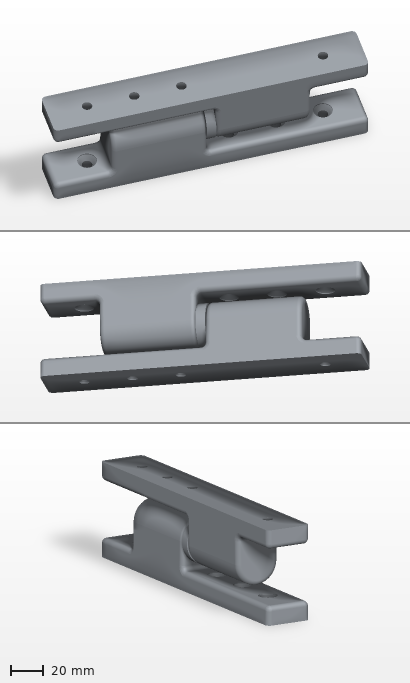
import cadquery as cq
import math

length = 200.0
width = 30.0
height = 60.0
edge_radius = 3.0

plate_thickness = 12.0
draft_angle = 1.0
barrel_length = 60.0
spacer_length = 6.0

hole_diameter = 6.5
countersink_diameter = 12.0
countersink_angle = 90.0
countersink_lip = 0.5
outer_hole_y = 75.0
hole_pitch = 30.0
long_arm_holes = 3

plate_bottom_z = -height / 2
plate_top_z = plate_bottom_z + plate_thickness
draft = math.radians(draft_angle)
barrel_radius = width / 2 * math.cos(draft) + plate_bottom_z * math.sin(draft)
barrel_near_y = -spacer_length / 2
barrel_far_y = barrel_near_y - barrel_length


def make_side_outline():
    """Plate with the raised block that becomes the barrel, square-edged and full width."""
    return (
        cq.Workplane("YZ", origin=(-width / 2, 0, 0))
        .moveTo(-length / 2, plate_bottom_z)
        .lineTo(length / 2, plate_bottom_z)
        .lineTo(length / 2, plate_top_z)
        .lineTo(barrel_near_y, plate_top_z)
        .lineTo(barrel_near_y, barrel_radius)
        .lineTo(barrel_far_y, barrel_radius)
        .lineTo(barrel_far_y, plate_top_z)
        .lineTo(-length / 2, plate_top_z)
        .close()
        .extrude(width)
    )


def make_end_outline():
    """Drafted sides that run smoothly into the round top centred on the pivot axis."""
    tangent_x = barrel_radius * math.cos(draft)
    tangent_z = barrel_radius * math.sin(draft)
    return (
        cq.Workplane("XZ", origin=(0, length / 2, 0))
        .moveTo(-width / 2, plate_bottom_z)
        .lineTo(-tangent_x, tangent_z)
        .threePointArc((0, barrel_radius), (tangent_x, tangent_z))
        .lineTo(width / 2, plate_bottom_z)
        .close()
        .extrude(length)
    )


def make_body():
    """Plate and barrel in one piece, rounded along every edge but those of the mounting face."""
    body = make_side_outline().intersect(make_end_outline())

    root_corners = cq.selectors.BoxSelector(
        (-width, barrel_far_y - edge_radius, plate_top_z - edge_radius),
        (width, barrel_near_y + edge_radius, plate_top_z + edge_radius),
    )
    body = body.edges("|X").edges(root_corners).fillet(edge_radius)

    body = body.faces("<Y or >Y").edges("not |X").fillet(edge_radius)

    return body.faces("<Y or >Y").edges(">Z").fillet(edge_radius)


def make_hole_cutter(hole_y):
    """Through hole opening into a cone with a short straight lip at the top of the plate."""
    hole_radius = hole_diameter / 2
    countersink_radius = countersink_diameter / 2
    cone_top_z = plate_top_z - countersink_lip
    half_angle = math.radians(countersink_angle / 2)
    cone_bottom_z = cone_top_z - (countersink_radius - hole_radius) / math.tan(half_angle)
    return (
        cq.Workplane("XZ", origin=(0, hole_y, 0))
        .moveTo(0, plate_bottom_z)
        .lineTo(hole_radius, plate_bottom_z)
        .lineTo(hole_radius, cone_bottom_z)
        .lineTo(countersink_radius, cone_top_z)
        .lineTo(countersink_radius, plate_top_z)
        .lineTo(0, plate_top_z)
        .close()
        .revolve(360, (0, 0, 0), (0, 1, 0))
    )


def make_leaf():
    """Lower leaf, with its mounting holes countersunk from the pivot side."""
    leaf = make_body()
    hole_places = [-outer_hole_y]
    for index in range(long_arm_holes):
        hole_places.append(outer_hole_y - index * hole_pitch)
    for hole_y in hole_places:
        leaf = leaf.cut(make_hole_cutter(hole_y))
    return leaf


def make_spacer():
    """Plain disc filling the gap between the two barrels."""
    return (
        cq.Workplane("XZ", origin=(0, spacer_length / 2, 0))
        .circle(barrel_radius)
        .extrude(spacer_length)
    )


lower_leaf = make_leaf()
upper_leaf = lower_leaf.rotate((0, 0, 0), (1, 0, 0), 180)
spacer = make_spacer()

result = cq.Compound.makeCompound([lower_leaf.val(), upper_leaf.val(), spacer.val()])